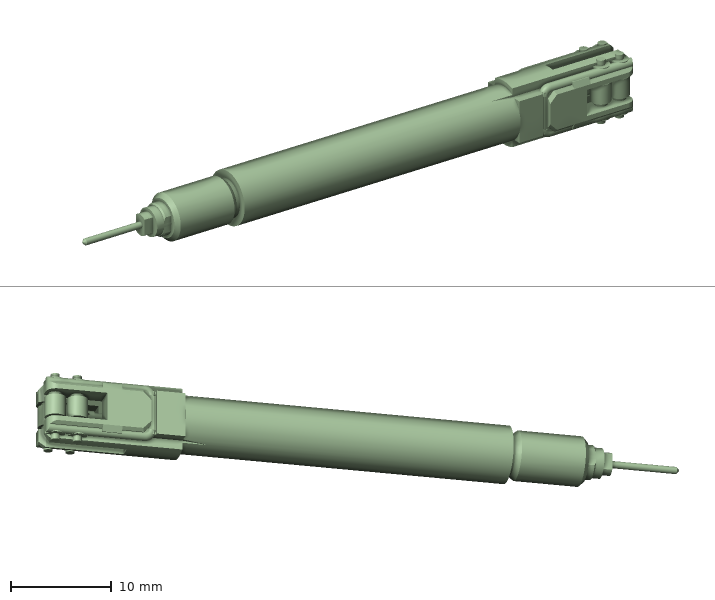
import math

import cadquery as cq


total_length = 65.33
half_width = 3.0
half_height = 3.5

head_end = 14.1
core_half_width = 2.55
core_end = 10.93
throat_half_width = 2.38
core_half_height = 2.3
neck_start = 11.2
neck_half_width = 2.7

spine_half_width = 1.48
spine_crown_radius = 4.5
spine_tip_chamfer = 0.7

wing_end = 10.55
wing_half_height = 2.25
wing_corner = 0.7
wing_edge_chamfer = 0.3
fork_corner_radius = 1.05

tab_start = 5.6
tab_length = 2.0
tab_top = 2.6
tab_top_half_width = 2.68
tab_slope_start = wing_half_height - wing_edge_chamfer

rail_radius = 0.5
rail_x = 2.1
rail_z = 2.43
rail_straight_end = 10.1
rail_bend_radius = neck_start - rail_straight_end - rail_radius

slot_half_width = 0.65
slot_end = 8.6
slot_tip_chamfer_x = 0.4
slot_tip_chamfer_y = 0.65
window_half_height = 1.45
window_end = 6.05

roller_x = spine_half_width
roller_radius = 1.05
roller_half_height = 1.07
roller_setback = 0.02
roller_positions = (roller_radius + roller_setback, 3.33)
hub_radius = 0.7
pin_radius = 0.45
pin_boss_radius = 0.95
pin_boss_top = rail_z + rail_radius

needle_radius = 0.38
needle_head_radius = 0.55
needle_tip = 4.25
needle_head_end = 5.35
crown_depth = 0.6

barrel_radius = 2.93
barrel_end = 47.7
groove_radius = 2.1
groove_end = 48.1
body_radius = 2.53
body_start = 48.65
body_end = 55.65
body_chamfer = 0.45
collar_radius = 1.75
collar_half_width = 1.52
collar_end = 56.5
collar_chamfer = 0.15
stub_radius = 1.53
stub_end = 57.35
block_radius = 1.15
block_half_width = 0.76
block_end = 58.35
wire_radius = 0.36
wire_chamfer = 0.25

relief_end = 16.7


def box(x_min, x_max, y_min, y_max, z_min, z_max):
    size = (x_max - x_min, y_max - y_min, z_max - z_min)
    return cq.Workplane("XY").box(*size, centered=False).translate((x_min, y_min, z_min))


def centred_box(half_x, y_min, y_max, half_z):
    return box(-half_x, half_x, y_min, y_max, -half_z, half_z)


def rod(radius, y_min, y_max, x=0, z=0):
    """Cylinder along Y."""
    direction = cq.Vector(0, 1, 0)
    return cq.Workplane(cq.Solid.makeCylinder(radius, y_max - y_min, cq.Vector(x, y_min, z), direction))


def post(radius, x, y, half_z):
    """Cylinder along Z, centred on the XY plane."""
    return cq.Workplane(cq.Solid.makeCylinder(radius, 2 * half_z, cq.Vector(x, y, -half_z)))


def make_shaft():
    """Barrel, grooved body, stub and wire turned about the Y axis."""
    profile = [
        (0, head_end),
        (barrel_radius, head_end),
        (barrel_radius, barrel_end),
        (groove_radius, barrel_end),
        (groove_radius, groove_end),
        (body_radius, body_start),
        (body_radius, body_end - body_chamfer),
        (body_radius - body_chamfer, body_end),
        (stub_radius, body_end),
        (stub_radius, stub_end),
        (wire_radius, stub_end),
        (wire_radius, total_length - wire_chamfer),
        (wire_radius - wire_chamfer, total_length),
        (0, total_length),
    ]
    return cq.Workplane("XY").polyline(profile).close().revolve(360, (0, 0), (0, 1))


def make_flatted_collars():
    """Two round collars with flats facing +X and -X."""
    collar = rod(collar_radius, body_end, collar_end).faces(">Y").chamfer(collar_chamfer)
    collar = collar.intersect(centred_box(collar_half_width, body_end, collar_end, collar_radius))
    block = rod(block_radius, stub_end, block_end)
    block = block.intersect(centred_box(block_half_width, stub_end, block_end, block_radius))
    return collar.union(block)


def make_spine():
    """Crowned full-height bar with chamfered top and bottom at the fork end."""
    bar = centred_box(spine_half_width, 0, head_end, half_height)
    bar = bar.faces("<Y").edges("|X").chamfer(spine_tip_chamfer)
    crown_z = half_height - spine_crown_radius
    upper = rod(spine_crown_radius, 0, head_end, z=crown_z)
    lower = rod(spine_crown_radius, 0, head_end, z=-crown_z)
    return bar.intersect(upper).intersect(lower)


def make_wings():
    """Full-width side plates with cut corners and bevelled long edges."""
    wings = centred_box(half_width, 0, wing_end, wing_half_height)
    wings = wings.faces(">Y").edges("|X").chamfer(wing_corner)
    return wings.faces("<X or >X").edges("not (<Y or >Y)").chamfer(wing_edge_chamfer)


def make_tabs():
    """Short tabs sloping inwards from the wing sides to above the wing edges."""
    section = [
        (half_width, tab_slope_start),
        (tab_top_half_width, tab_top),
        (-tab_top_half_width, tab_top),
        (-half_width, tab_slope_start),
        (-half_width, -tab_slope_start),
        (-tab_top_half_width, -tab_top),
        (tab_top_half_width, -tab_top),
        (half_width, -tab_slope_start),
    ]
    plane_origin = (0, tab_start + tab_length, 0)
    return cq.Workplane("XZ", origin=plane_origin).polyline(section).close().extrude(tab_length)


def make_rail():
    """Round rail on the +X, +Z side, bending inwards at the neck."""
    straight = rod(rail_radius, 0, rail_straight_end, rail_x, rail_z)
    bend = (
        cq.Workplane("XZ", origin=(rail_x, rail_straight_end, rail_z))
        .circle(rail_radius)
        .revolve(90, (0, -rail_bend_radius), (-1, -rail_bend_radius))
    )
    return straight.union(bend)


def mirrored_four_ways(shape):
    pair = shape.union(shape.mirror("YZ"))
    return pair.union(pair.mirror("XY"))


def make_fork_outline():
    """Prism that rounds the outer corners of the fork and bevels the slot mouth."""
    mouth = slot_half_width + slot_tip_chamfer_x
    arc_offset = fork_corner_radius * (1 - math.sqrt(0.5))
    half = (
        cq.Workplane("XY")
        .moveTo(0, slot_end)
        .lineTo(slot_half_width, slot_end)
        .lineTo(slot_half_width, slot_tip_chamfer_y)
        .lineTo(mouth, 0)
        .lineTo(half_width - fork_corner_radius, 0)
        .threePointArc((half_width - arc_offset, arc_offset), (half_width, fork_corner_radius))
        .lineTo(half_width, head_end)
        .lineTo(0, head_end)
        .close()
        .extrude(half_height, both=True)
    )
    return half.union(half.mirror("YZ"))


def make_head():
    """Forked head with spine, wings, rails and pins, open through the side window."""
    head = centred_box(core_half_width, 0, core_end, core_half_height)
    head = head.union(centred_box(throat_half_width, core_end, neck_start, core_half_height))
    head = head.union(centred_box(neck_half_width, neck_start, head_end, core_half_height))
    head = head.union(make_wings().union(make_tabs()))
    head = head.union(mirrored_four_ways(make_rail()))
    head = head.union(make_spine())
    for y in roller_positions:
        for x in (-roller_x, roller_x):
            head = head.union(post(pin_boss_radius, x, y, pin_boss_top))
            head = head.union(post(pin_radius, x, y, half_height))
    head = head.intersect(make_fork_outline())
    return head.cut(centred_box(half_width, 0, window_end, window_half_height))


def make_rollers():
    """Rollers with narrower hubs reaching the window walls."""
    rollers = cq.Workplane("XY")
    for y in roller_positions:
        for x in (-roller_x, roller_x):
            rollers = rollers.union(post(roller_radius, x, y, roller_half_height))
            rollers = rollers.union(post(hub_radius, x, y, window_half_height))
    return rollers


def make_needle():
    """Contact needle whose head is notched crosswise into four points."""
    needle = rod(needle_radius, needle_head_end, slot_end)
    crown = rod(needle_head_radius, needle_tip, needle_head_end)
    notch = (
        cq.Workplane("XY")
        .polyline([(-needle_head_radius, needle_tip), (needle_head_radius, needle_tip),
                   (0, needle_tip + crown_depth)])
        .close()
        .extrude(needle_head_radius, both=True)
    )
    crown = crown.cut(notch).cut(notch.rotate((0, 0, 0), (0, 1, 0), 90))
    return needle.union(crown)


def make_relief():
    """Wedge removed from the barrel beside the spine, on the +X, +Z side."""
    runout_z = math.sqrt(barrel_radius**2 - spine_half_width**2)
    return (
        cq.Workplane("YZ", origin=(spine_half_width, 0, 0))
        .polyline([(head_end, core_half_height), (relief_end, runout_z),
                   (relief_end, half_height), (head_end, half_height)])
        .close()
        .extrude(half_width - spine_half_width)
    )


shaft = make_shaft().union(make_flatted_collars()).cut(mirrored_four_ways(make_relief()))
probe = shaft.union(make_head()).union(make_rollers()).union(make_needle())
result = probe.rotate((0, 0, 0), (0, 0, 1), 180)